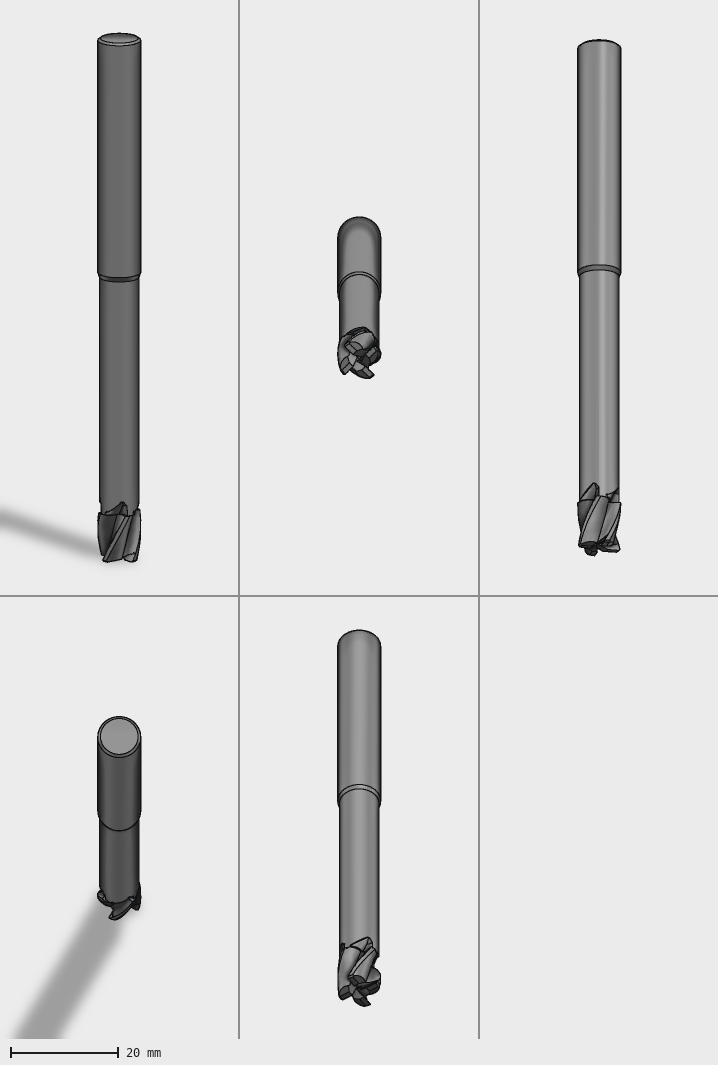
import cadquery as cq
import math

total_length = 100.0
tool_diameter = 8.0
tool_radius = tool_diameter / 2

shank_bottom_z = 55.0
step_height = 0.9
neck_radius = 3.7
top_chamfer_width = 0.5
top_chamfer_height = 0.4

head_length = 9.0
corner_chamfer = 0.3
flute_count = 4
flute_spacing = 360 / flute_count
helix_angle = 28.0
core_radius = 2.1
edge_angle = -1.0
land_angle = 13.0
back_angle = 41.0
back_radius = 3.1
floor_angle = 64.0
fillet_angle = 80.0
fillet_radius = 2.3
rake_angle = 88.0
rake_radius = 3.2

gash_depth = 1.6
gash_width = 1.6
foot_width = 1.0
relief_angle = 20.0

runout_turn = 9.0
runout_outer_radius = 6.0
runout_sections = [(0, 1, 0), (1.9, 0.5, -3.5), (2.7, 0.1, -14)]

lead = 2 * math.pi * tool_radius / math.tan(math.radians(helix_angle))
head_twist = 360 * head_length / lead


def polar(radius, angle):
    """Point at an angle measured from the cutting edge of the first tooth."""
    direction = math.radians(edge_angle + angle)
    return (radius * math.cos(direction), radius * math.sin(direction))


def around_axis(body):
    """Copies of a cutter, one for each flute."""
    return [body.rotate((0, 0, 0), (0, 0, 1), i * flute_spacing) for i in range(flute_count)]


def cut_flute(outline, place):
    """Continues an outline from the heel of a land along the flute to the next cutting edge.

    `place` turns a radius and an angle behind the cutting edge into a point.
    """
    return (
        outline.threePointArc(place(back_radius, back_angle), place(core_radius, floor_angle))
        .threePointArc(place(fillet_radius, fillet_angle), place(rake_radius, rake_angle))
        .lineTo(*place(tool_radius, flute_spacing))
    )


def make_tooth_section():
    """Cross-section of the head: land, curved back, flute floor and rake face of each tooth."""
    section = cq.Workplane("XY").moveTo(*polar(tool_radius, 0))
    for i in range(flute_count):
        start = i * flute_spacing

        def place(radius, angle):
            return polar(radius, start + angle)

        section = section.threePointArc(place(tool_radius, land_angle / 2), place(tool_radius, land_angle))
        section = cut_flute(section, place)
    return section.close()


def make_end_cutter(profile):
    """Radial prism with its profile square to the first cutting edge at the bottom face."""
    return (
        cq.Workplane("YZ")
        .polyline(profile)
        .close()
        .extrude(tool_diameter)
        .rotate((0, 0, 0), (0, 0, 1), edge_angle)
    )


def make_gash():
    """Notch ahead of a cutting edge that opens the end of its flute to the axis."""
    gash_lean = gash_depth * math.tan(math.radians(helix_angle))
    return make_end_cutter([(0, 0), (gash_lean, gash_depth), (-gash_width, 0)])


def make_end_relief():
    """Wedge behind a cutting edge that leaves a narrow flat foot on the tooth."""
    relief_width = tool_radius - foot_width
    rise = relief_width * math.tan(math.radians(relief_angle))
    return make_end_cutter([(foot_width, 0), (tool_radius, 0), (tool_radius, rise)])


def make_corner_ring():
    """Conical ring that chamfers the outer corners of the teeth."""
    return (
        cq.Workplane("XZ")
        .polyline(
            [
                (tool_radius - corner_chamfer, 0),
                (tool_radius + corner_chamfer, 2 * corner_chamfer),
                (tool_radius + corner_chamfer, 0),
            ]
        )
        .close()
        .revolve(360, (0, 0, 0), (0, 1, 0))
    )


def make_head():
    """Cutting head with its helical teeth, chamfered corners, gashes and end relief."""
    head = make_tooth_section().twistExtrude(head_length, head_twist)
    head = head.cut(make_corner_ring())
    for cutter in around_axis(make_gash()) + around_axis(make_end_relief()):
        head = head.cut(cutter)
    return head


def make_runout():
    """Tapering end of one flute, running up from the head into the neck."""
    sections = cq.Workplane("XY", origin=(0, 0, head_length))
    height = 0
    for section_height, scale, pivot_angle in runout_sections:
        pivot_x, pivot_y = polar(neck_radius, pivot_angle)

        def place(radius, angle):
            x, y = polar(radius, angle - flute_spacing)
            return (pivot_x + scale * (x - pivot_x), pivot_y + scale * (y - pivot_y))

        sections = sections.workplane(offset=section_height - height)
        sections = sections.moveTo(*place(tool_radius, land_angle))
        sections = cut_flute(sections, place)
        outside = place(runout_outer_radius, (land_angle + flute_spacing) / 2)
        sections = sections.lineTo(*outside).close()
        height = section_height
    runout = sections.loft(ruled=True)
    return runout.rotate((0, 0, 0), (0, 0, 1), head_twist + runout_turn)


def make_shank():
    """Shank with its top chamfer, stepped neck and flute run-outs."""
    shank = (
        cq.Workplane("XZ")
        .polyline(
            [
                (0, head_length),
                (neck_radius, head_length),
                (neck_radius, shank_bottom_z - step_height),
                (tool_radius, shank_bottom_z),
                (tool_radius, total_length - top_chamfer_height),
                (tool_radius - top_chamfer_width, total_length),
                (0, total_length),
            ]
        )
        .close()
        .revolve(360, (0, 0, 0), (0, 1, 0))
    )
    for runout in around_axis(make_runout()):
        shank = shank.cut(runout)
    return shank


shank = make_shank()
head = make_head()
result = cq.Compound.makeCompound([shank.solids().val(), head.solids().val()])